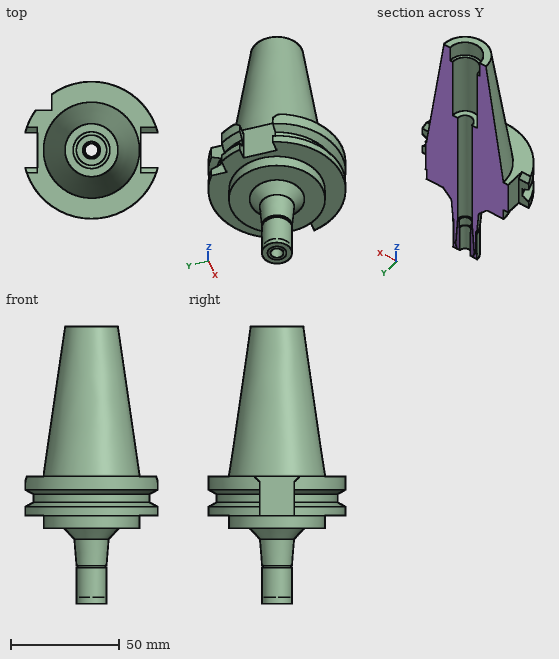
import cadquery as cq
import math


gauge_radius = 44.45 / 2
taper_length = 68.4
taper_ratio = 7 / 24
taper_top_radius = gauge_radius - taper_length * taper_ratio / 2

flange_radius = 63.55 / 2
flange_top = -1.0
flange_bottom = -19.1
groove_center = -11.1
groove_root_radius = 56.25 / 2
groove_root_half_width = 3.75 / 2
groove_flank_angle = 30
groove_flank_height = (flange_radius - groove_root_radius) * math.tan(math.radians(groove_flank_angle))
groove_half_width = groove_root_half_width + groove_flank_height

slot_width = 16.1
slot_bevel = 2.5
slot_floor_left = 25.0
slot_floor_right = 22.8
notch_offset = 18.5

collar_bottom = -25.0
cone_bottom = -30.0
cone_bottom_radius = 8.0
cone_top_radius = 12.7
nose_bottom = -42.3
nose_bottom_radius = 7.0

nut_radius = 7.0
nut_top = -43.15
nut_bottom = -60.0
spigot_radius = 6.5
nut_lip_height = 3.0
spigot_bottom = nut_bottom + nut_lip_height

mouth_radius = 17.0 / 2
mouth_depth = 8.3
thread_radius = 14.0 / 2
thread_depth = 43.0
channel_radius = 8.1 / 2

collet_top = -40.0
collet_shoulder_radius = 5.2
collet_face_radius = 4.4
collet_bore_radius = 6.0 / 2
collet_recess_radius = 6.6 / 2
collet_recess_depth = 5.0


def revolve_profile(points):
    """Turn a closed (radius, z) outline around the Z axis."""
    return cq.Workplane("XZ").polyline(points).close().revolve(360, (0, 0, 0), (0, 1, 0))


def holder_blank():
    """Solid of revolution from the taper top down to the end of the spigot."""
    return revolve_profile([
        (0, taper_length),
        (taper_top_radius, taper_length),
        (gauge_radius, 0),
        (gauge_radius, flange_top),
        (flange_radius, flange_top),
        (flange_radius, groove_center + groove_half_width),
        (groove_root_radius, groove_center + groove_root_half_width),
        (groove_root_radius, groove_center - groove_root_half_width),
        (flange_radius, groove_center - groove_half_width),
        (flange_radius, flange_bottom),
        (gauge_radius, flange_bottom),
        (gauge_radius, collar_bottom),
        (cone_top_radius, collar_bottom),
        (cone_bottom_radius, cone_bottom),
        (nose_bottom_radius, nose_bottom),
        (spigot_radius, nose_bottom),
        (spigot_radius, spigot_bottom),
        (0, spigot_bottom),
    ])


def holder_bore():
    """Drawbar mouth, thread bore, narrow channel and the conical collet seat."""
    mouth_floor = taper_length - mouth_depth
    thread_floor = taper_length - thread_depth
    return revolve_profile([
        (0, taper_length),
        (mouth_radius, taper_length),
        (mouth_radius, mouth_floor),
        (thread_radius, mouth_floor),
        (thread_radius, thread_floor),
        (channel_radius, thread_floor),
        (channel_radius, collet_top),
        (collet_shoulder_radius, spigot_bottom),
        (0, spigot_bottom),
    ])


def driving_slot(side, floor_distance):
    """Slot open outward along X (side is -1 or +1), with its upper edges bevelled at 45 degrees."""
    half_width = slot_width / 2
    bevelled_half_width = half_width + slot_bevel
    return (
        cq.Workplane("YZ", origin=(side * floor_distance, 0, 0))
        .polyline([
            (-half_width, flange_bottom),
            (half_width, flange_bottom),
            (half_width, flange_top - slot_bevel),
            (bevelled_half_width, flange_top),
            (-bevelled_half_width, flange_top),
            (-half_width, flange_top - slot_bevel),
        ])
        .close()
        .extrude(side * flange_radius)
    )


def orientation_notch():
    """Square corner cut through the flange at -X, +Y."""
    return (
        cq.Workplane("XY", origin=(-notch_offset, notch_offset, flange_bottom))
        .rect(-flange_radius, flange_radius, centered=False)
        .extrude(flange_top - flange_bottom)
    )


def make_holder():
    return (
        holder_blank()
        .cut(holder_bore())
        .cut(driving_slot(-1, slot_floor_left))
        .cut(driving_slot(1, slot_floor_right))
        .cut(orientation_notch())
    )


def make_nut():
    """Sleeve around the spigot with a conical lip that holds the collet."""
    return revolve_profile([
        (spigot_radius, nut_top),
        (nut_radius, nut_top),
        (nut_radius, nut_bottom),
        (collet_face_radius, nut_bottom),
        (collet_shoulder_radius, spigot_bottom),
        (spigot_radius, spigot_bottom),
    ])


def make_collet():
    """Double-cone collet with a through bore, slightly wider at its upper end."""
    recess_floor = collet_top - collet_recess_depth
    return revolve_profile([
        (collet_recess_radius, collet_top),
        (channel_radius, collet_top),
        (collet_shoulder_radius, spigot_bottom),
        (collet_face_radius, nut_bottom),
        (collet_bore_radius, nut_bottom),
        (collet_bore_radius, recess_floor),
        (collet_recess_radius, recess_floor),
    ])


holder = make_holder()
nut = make_nut()
collet = make_collet()

result = cq.Compound.makeCompound([holder.solids().val(), nut.val(), collet.val()])